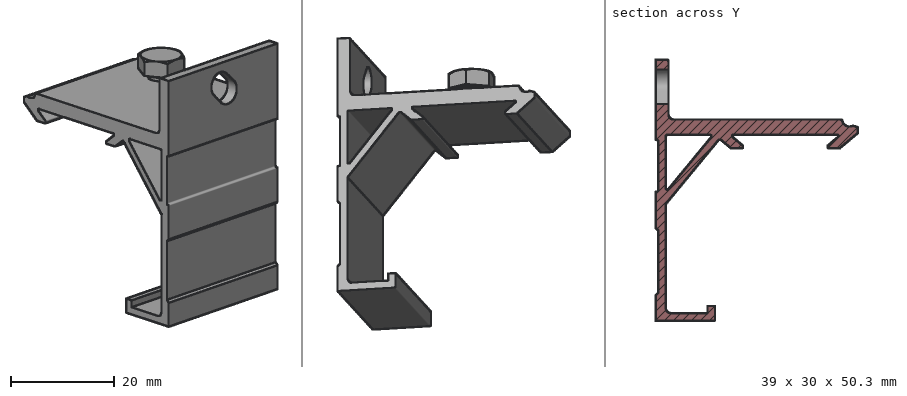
import cadquery as cq
import math

LENGTH = 30.0
WIDTH = 39.0
HEIGHT = 50.31

UPPER_WALL = 2.5
LOWER_WALL = 2.0
WALL_FILLET = 1.0
EDGE_ROUND = 0.3

FOOT_REACH = 11.5
FOOT_THICKNESS = 1.5
HOOK_THICKNESS = 1.5
HOOK_HEIGHT = 2.9

RELIEF_DEPTH = 0.5
RELIEF_ROUND = 0.24
UPPER_RELIEF = (24.9, 34.8)
LOWER_RELIEF = (4.9, 17.9)
LOWER_RELIEF_SLOPE_HEIGHT = 0.5

SHELF_TOP = 38.81
SHELF_THICKNESS = 3.0
SHELF_BOTTOM = SHELF_TOP - SHELF_THICKNESS

LIP_HIGH = 37.3
LIP_CREST = (-38.0, 37.62)
GROOVE_RADIUS = 1.4
GROOVE_CENTER_X = -37.35
SHELF_EDGE_ROUND = 0.4

CLIP_CENTER_X = -25.0
CLIP_ANGLE = math.radians(40)
CLIP_BOTTOM = 33.25
CLIP_TIP_HEIGHT = 0.5
CLIP_TIP_OFFSET = 8.15
CLIP_HEEL_OFFSET = 10.5
CLIP_ROUND = 0.2

BRACE_ANGLE = math.radians(50.5)
BRACE_THICKNESS = 1.47
BRACE_FOOT_Z = 22.52
BRACE_CORNER_ROUND = 0.25
BRACE_NOTCH_ROUND = 0.3

SLOT_DIAMETER = 5.0
SLOT_CENTER_DISTANCE = 2.83
SLOT_TILT = 135.0
SLOT_Y = 15.25
SLOT_Z = 44.95

BOLT_X = CLIP_CENTER_X
BOLT_Y = 23.5
BOLT_DIAMETER = 5.0
HEAD_ACROSS_FLATS = 8.0
HEAD_BOTTOM = 40.22
HEAD_TOP = 43.4
HEAD_CHAMFER_ANGLE = math.radians(30)
WASHER_FACE_DIAMETER = 6.88
WASHER_FACE_HEIGHT = 0.35


def intersect_lines(first, first_slope, second, second_slope):
    """Crossing point of two sloping lines, each given by a point and a slope."""
    x1, z1 = first
    x2, z2 = second
    x = (z2 - z1 + first_slope * x1 - second_slope * x2) / (first_slope - second_slope)
    return (x, z1 + first_slope * (x - x1))


def point_at_height(start, slope, z):
    """Point at height z on the line through start."""
    return (start[0] + (z - start[1]) / slope, z)


def prism(points):
    """Extrude a closed XZ outline from Y = 0 to Y = LENGTH."""
    return cq.Workplane("XZ").polyline(points).close().extrude(-LENGTH)


def round_corners(body, corners, radius):
    """Round the Y-direction edges that pass through the given (x, z) corners."""
    reach = 0.02
    edges = []
    for x, z in corners:
        box = cq.selectors.BoxSelector(
            (x - reach, 0, z - reach),
            (x + reach, LENGTH, z + reach),
        )
        edges += body.edges("|Y").edges(box).vals()
    return body.newObject(edges).fillet(radius)


def make_section():
    """Wall, foot hook, shelf and clips as one extrusion, with the brace window cut out."""
    clip_slope = math.tan(CLIP_ANGLE)
    brace_slope = -math.tan(BRACE_ANGLE)
    brace_rise = BRACE_THICKNESS / math.cos(BRACE_ANGLE)
    clip_tip_top = CLIP_BOTTOM + CLIP_TIP_HEIGHT

    hook_bottom = (-FOOT_REACH, 0)
    hook_inner_x = HOOK_THICKNESS - FOOT_REACH
    foot_corner = (-LOWER_WALL, FOOT_THICKNESS)
    brace_foot = (-LOWER_WALL, BRACE_FOOT_Z)

    right_heel = (CLIP_CENTER_X + CLIP_HEEL_OFFSET, CLIP_BOTTOM)
    right_tip_low = (CLIP_CENTER_X + CLIP_TIP_OFFSET, CLIP_BOTTOM)
    right_tip_high = (CLIP_CENTER_X + CLIP_TIP_OFFSET, clip_tip_top)
    right_root = point_at_height(right_tip_high, clip_slope, SHELF_BOTTOM)
    clip_brace_notch = intersect_lines(right_heel, clip_slope, brace_foot, brace_slope)

    left_heel = (CLIP_CENTER_X - CLIP_HEEL_OFFSET, CLIP_BOTTOM)
    left_tip_low = (CLIP_CENTER_X - CLIP_TIP_OFFSET, CLIP_BOTTOM)
    left_tip_high = (CLIP_CENTER_X - CLIP_TIP_OFFSET, clip_tip_top)
    left_root = point_at_height(left_tip_high, -clip_slope, SHELF_BOTTOM)
    lip_low = (-WIDTH, CLIP_BOTTOM + clip_slope * (left_heel[0] + WIDTH))
    lip_high = (-WIDTH, LIP_HIGH)

    shelf_corner = (-UPPER_WALL, SHELF_TOP)
    wall_top = (-UPPER_WALL, HEIGHT)

    section = prism([
        (0, 0),
        hook_bottom,
        (-FOOT_REACH, HOOK_HEIGHT),
        (hook_inner_x, HOOK_HEIGHT),
        (hook_inner_x, FOOT_THICKNESS),
        foot_corner,
        brace_foot,
        clip_brace_notch,
        right_heel,
        right_tip_low,
        right_tip_high,
        right_root,
        left_root,
        left_tip_high,
        left_tip_low,
        left_heel,
        lip_low,
        lip_high,
        LIP_CREST,
        (LIP_CREST[0], SHELF_TOP),
        shelf_corner,
        wall_top,
        (0, HEIGHT),
    ])
    section = round_corners(section, [foot_corner, shelf_corner], WALL_FILLET)
    section = round_corners(section, [hook_bottom, wall_top], EDGE_ROUND)
    clip_tips = [left_tip_low, left_tip_high, right_tip_low, right_tip_high]
    section = round_corners(
        section,
        clip_tips + [left_root, right_root, lip_low, lip_high],
        CLIP_ROUND,
    )
    section = round_corners(section, [clip_brace_notch], BRACE_NOTCH_ROUND)

    window_foot = (-LOWER_WALL, BRACE_FOOT_Z + brace_rise)
    window_corners = [
        window_foot,
        (-LOWER_WALL, SHELF_BOTTOM),
        point_at_height(window_foot, brace_slope, SHELF_BOTTOM),
    ]
    window = round_corners(prism(window_corners), window_corners, BRACE_CORNER_ROUND)
    return section.cut(window)


def groove_center_z():
    """Height of the groove axis that makes its arc start at the lip crest."""
    crest_x, crest_z = LIP_CREST
    return crest_z + math.sqrt(GROOVE_RADIUS**2 - (crest_x - GROOVE_CENTER_X)**2)


def cut_lip_groove(body):
    """Round groove between the lip crest and the shelf top, with a rounded shelf edge."""
    center_z = groove_center_z()
    groove = (
        cq.Workplane("XZ")
        .center(GROOVE_CENTER_X, center_z)
        .circle(GROOVE_RADIUS)
        .extrude(-LENGTH)
    )
    shelf_edge_x = GROOVE_CENTER_X + math.sqrt(GROOVE_RADIUS**2 - (center_z - SHELF_TOP)**2)
    return round_corners(body.cut(groove), [(shelf_edge_x, SHELF_TOP)], SHELF_EDGE_ROUND)


def cut_upper_relief(body):
    """Square-stepped relief in the back face behind the brace, all corners rounded."""
    low, high = UPPER_RELIEF
    relief = prism([(0, low), (-RELIEF_DEPTH, low), (-RELIEF_DEPTH, high), (0, high)])
    corners = [(x, z) for x in (0, -RELIEF_DEPTH) for z in UPPER_RELIEF]
    return round_corners(body.cut(relief), corners, RELIEF_ROUND)


def cut_lower_relief(body):
    """Relief in the back face above the foot, with sloping ends."""
    low, high = LOWER_RELIEF
    relief = prism([
        (0, low),
        (-RELIEF_DEPTH, low + LOWER_RELIEF_SLOPE_HEIGHT),
        (-RELIEF_DEPTH, high - LOWER_RELIEF_SLOPE_HEIGHT),
        (0, high),
    ])
    return body.cut(relief)


def cut_slot(body):
    """Slanted slot through the upper wall."""
    slot = (
        cq.Workplane("YZ")
        .center(SLOT_Y, SLOT_Z)
        .slot2D(SLOT_CENTER_DISTANCE + SLOT_DIAMETER, SLOT_DIAMETER, SLOT_TILT)
        .extrude(-UPPER_WALL)
    )
    return body.cut(slot)


def cylinder(diameter, bottom, top):
    """Vertical cylinder on the bolt axis."""
    return (
        cq.Workplane("XY", origin=(BOLT_X, BOLT_Y, bottom))
        .circle(diameter / 2)
        .extrude(top - bottom)
    )


def make_bolt():
    """Hexagon bolt with corners along Y, a washer face and a chamfered top."""
    flat_radius = HEAD_ACROSS_FLATS / 2
    corner_radius = flat_radius / math.cos(math.pi / 6)
    chamfer_drop = (corner_radius - flat_radius) * math.tan(HEAD_CHAMFER_ANGLE)
    hexagon = (
        cq.Workplane("XY", origin=(BOLT_X, BOLT_Y, HEAD_BOTTOM))
        .transformed(rotate=(0, 0, 90))
        .polygon(6, 2 * corner_radius)
        .extrude(HEAD_TOP - HEAD_BOTTOM)
    )
    chamfer_envelope = (
        cylinder(2 * corner_radius, HEAD_BOTTOM, HEAD_TOP)
        .faces(">Z")
        .chamfer(chamfer_drop, corner_radius - flat_radius)
    )
    washer_face_bottom = HEAD_BOTTOM - WASHER_FACE_HEIGHT
    washer_face = cylinder(WASHER_FACE_DIAMETER, washer_face_bottom, HEAD_BOTTOM)
    shank = cylinder(BOLT_DIAMETER, SHELF_BOTTOM, HEAD_BOTTOM)
    return hexagon.intersect(chamfer_envelope).union(washer_face).union(shank)


bracket = make_section()
bracket = cut_lip_groove(bracket)
bracket = cut_upper_relief(bracket)
bracket = cut_lower_relief(bracket)
bracket = cut_slot(bracket)
result = bracket.union(make_bolt())